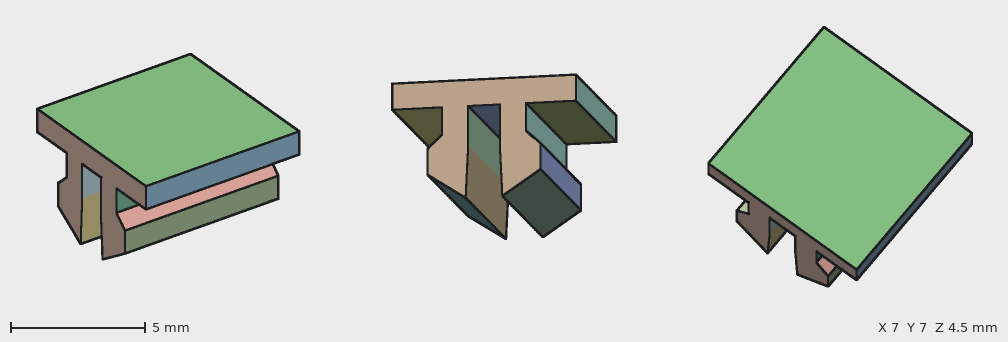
import cadquery as cq

plate_side = 7.0
plate_thickness = 1.0
total_height = 4.5

slot_half_width = 0.6
tip_half_width = 0.7
stem_half_width = 1.6
barb_half_width = 2.155

slot_flare_depth = 2.5
barb_start_depth = 2.05
barb_full_depth = 2.555
barb_end_depth = 3.55


def snap_leg():
    """Barbed leg on the +X side, running the full length of the plate."""
    outline = [
        (slot_half_width, -plate_thickness),
        (stem_half_width, -plate_thickness),
        (stem_half_width, -barb_start_depth),
        (barb_half_width, -barb_full_depth),
        (barb_half_width, -barb_end_depth),
        (tip_half_width, -total_height),
        (slot_half_width, -slot_flare_depth),
    ]
    return cq.Workplane("XZ").polyline(outline).close().extrude(plate_side / 2, both=True)


plate = cq.Workplane("XY").rect(plate_side, plate_side).extrude(-plate_thickness)
leg = snap_leg()
result = plate.union(leg).union(leg.mirror("YZ"))